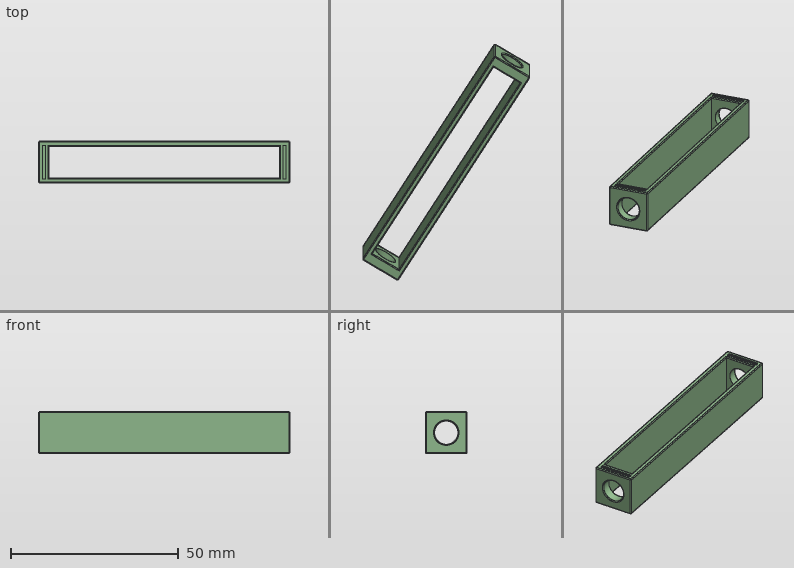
import cadquery as cq

LENGTH = 75.0
SIDE = 12.5
EDGE_CHAMFER = 0.3

END_WALL = 3.15
SIDE_WALL = 1.6
WINDOW_LENGTH = LENGTH - 2 * END_WALL
WINDOW_WIDTH = SIDE - 2 * SIDE_WALL

HOLE_DIAMETER = 7.0

SLOT_WIDTH = 0.9
SLOT_LENGTH = WINDOW_WIDTH + 2 * EDGE_CHAMFER
SLOT_DEPTH = 0.3
SLOT_FROM_END = END_WALL / 2


def chamfered_block():
    """Square bar with every outer edge broken."""
    return cq.Workplane("XY").box(LENGTH, SIDE, SIDE).edges().chamfer(EDGE_CHAMFER)


def window_cutter():
    """Rectangular prism that widens by the chamfer at the top and bottom faces."""
    prism = cq.Workplane("XY").box(WINDOW_LENGTH, WINDOW_WIDTH, SIDE)
    for face_side in (1, -1):
        start_height = face_side * (SIDE / 2 - EDGE_CHAMFER)
        mouth = (
            cq.Workplane("XY", origin=(0, 0, start_height))
            .rect(WINDOW_LENGTH, WINDOW_WIDTH)
            .workplane(offset=face_side * EDGE_CHAMFER)
            .rect(WINDOW_LENGTH + 2 * EDGE_CHAMFER, WINDOW_WIDTH + 2 * EDGE_CHAMFER)
            .loft(ruled=True)
        )
        prism = prism.union(mouth)
    return prism


def hole_cutter():
    """Cylinder along the whole length, flared by the chamfer at both outer ends."""
    radius = HOLE_DIAMETER / 2
    mouth_radius = radius + EDGE_CHAMFER
    half_length = LENGTH / 2
    straight_end = half_length - EDGE_CHAMFER
    profile = [
        (-half_length, 0),
        (-half_length, mouth_radius),
        (-straight_end, radius),
        (straight_end, radius),
        (half_length, mouth_radius),
        (half_length, 0),
    ]
    return cq.Workplane("XY").polyline(profile).close().revolve(360, (0, 0), (1, 0))


def slot_cutters():
    """One slot at each end, sunk into the top face."""
    slot_x = LENGTH / 2 - SLOT_FROM_END
    return (
        cq.Workplane("XY", origin=(0, 0, SIDE / 2))
        .pushPoints([(-slot_x, 0), (slot_x, 0)])
        .rect(SLOT_WIDTH, SLOT_LENGTH)
        .extrude(-SLOT_DEPTH)
    )


result = chamfered_block().cut(window_cutter()).cut(hole_cutter()).cut(slot_cutters())